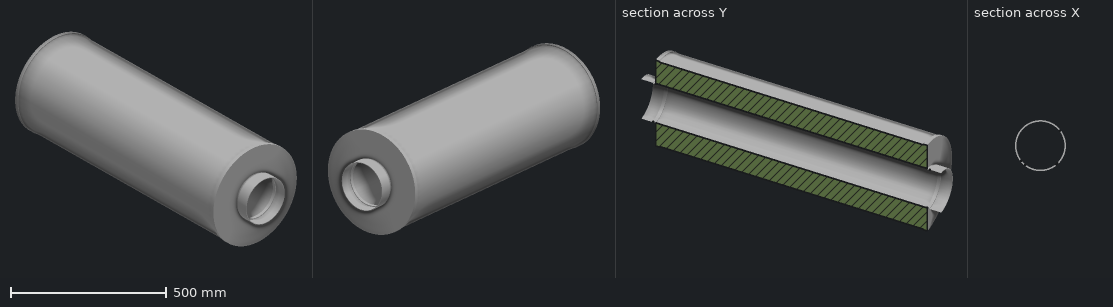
import cadquery as cq

total_length = 1082.0
collar_length = 43.0
neck_length = 8.0
rim_width = 13.0
rim_diameter = 355.0
body_diameter = 350.0
collar_diameter = 165.0
neck_diameter = 160.0
collar_bore = 160.0
neck_bore = 155.0
duct_bore = 160.0
cap_thickness = 2.0

collar_end = total_length / 2
neck_start = collar_end - collar_length
cap_face = neck_start - neck_length
rim_inner_edge = cap_face - rim_width
duct_end = cap_face - cap_thickness
wall = (collar_diameter - collar_bore) / 2
ledge = neck_start + wall


def cylinder(diameter, start, end):
    """Solid cylinder along X between two axial positions."""
    return cq.Workplane("YZ", origin=(start, 0, 0)).circle(diameter / 2).extrude(end - start)


def both_ends(diameter, start, end):
    """Matching cylinders at the two ends of the part."""
    return cylinder(diameter, start, end).union(cylinder(diameter, -end, -start))


drum = cylinder(body_diameter, -rim_inner_edge, rim_inner_edge)
drum = drum.union(both_ends(rim_diameter, rim_inner_edge, cap_face))

drum = drum.union(both_ends(neck_diameter, cap_face, neck_start))
drum = drum.union(both_ends(collar_diameter, neck_start, collar_end))

drum = drum.cut(cylinder(duct_bore, -duct_end, duct_end))
drum = drum.cut(cylinder(neck_bore, -ledge, ledge))
result = drum.cut(both_ends(collar_bore, ledge, collar_end))